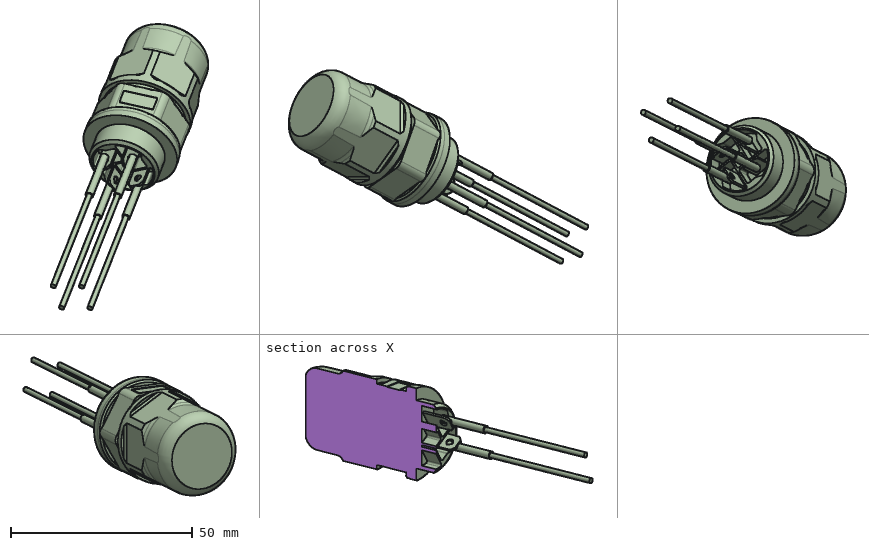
import cadquery as cq
import math


CAP_END_Y = 38.8
DOME_START_Y = 35.0
SHOULDER_TOP_Y = 27.5
SHOULDER_BASE_Y = 25.65
COLLAR_TOP_Y = 15.9
COLLAR_BASE_Y = 13.85
NUT_TOP_Y = 12.7
FLANGE_TOP_Y = 3.8
FLANGE_EDGE_Y = 3.3
FLANGE_RIM_Y = 2.1
SPIGOT_END_Y = -6.9
BLADE_END_Y = -10.9
SLEEVE_END_Y = -21.9
WIRE_END_Y = -56.9

CAP_FACE_RADIUS = 9.3
DOME_MID_RADIUS = 11.35
DOME_MID_DROP = 1.75
CAP_FRONT_RADIUS = 11.97
CAP_REAR_RADIUS = 12.0
COLLAR_RADIUS = 13.2
NECK_RADIUS = 11.9
CAP_FLAT_DISTANCE = 11.9
FLAT_RAMP_LENGTH = 0.9
FLAT_RAMP_RISE = 0.45

NUT_FLAT_DISTANCE = 11.9
NUT_CORNER_FILLET = 2.5
LABEL_WIDTH = 9.65
LABEL_LENGTH = 4.4
LABEL_CENTRE_Y = 8.0
LABEL_DEPTH = 0.2
LABEL_FILLET = 0.3
FLANGE_RADIUS = 13.5
FLANGE_EDGE_RADIUS = 13.4
FLANGE_TOP_RADIUS = 12.8

SPIGOT_RADIUS = 10.0
SPIGOT_CHAMFER = 0.9
INSERT_TILT = 32.0
CHAMBER_RADIUS = 8.65
CHAMBER_DEPTH = 5.0
CHAMBER_FILLET = 0.5
CENTRE_HALF_WIDTH = 1.65
INSERT_WALL = 0.6
CHAMBER_FAR_SIDE = 7.2
FLARE_START = 1.4
FLARE_SLOPE = 0.45

BLADE_OFFSET = 4.15
BLADE_CENTRE = 2.95
BLADE_WIDTH = 5.0
BLADE_THICKNESS = 0.65
BLADE_CHAMFER = 1.1
BLADE_HOLE_DIAMETER = 2.0
BLADE_HOLE_Y = -8.0
WIRE_OFFSET = 5.22
SLEEVE_DIAMETER = 2.2
WIRE_DIAMETER = 1.5

HEX_SIDES = 6
WIRE_COUNT = 4
CHAMBER_FLOOR_Y = SPIGOT_END_Y + CHAMBER_DEPTH


def plane_at(y):
    """Sketch plane at height y, local x = X, local y = Z, extruding toward -Y."""
    return cq.Workplane("XZ", origin=(0, y, 0))


def around_axis(shape, count, start_angle=0.0):
    """Copies of a shape spaced evenly about the Y axis."""
    step = 360.0 / count
    for index in range(count):
        yield shape.rotate((0, 0, 0), (0, 1, 0), -(start_angle + index * step))


def make_cap():
    """Domed cap with a wider rear section and collar, flattened on six sides."""
    shoulder_rise = COLLAR_RADIUS - CAP_REAR_RADIUS
    tangent_length = SHOULDER_TOP_Y - SHOULDER_BASE_Y - shoulder_rise
    slope_end_radius = CAP_REAR_RADIUS + tangent_length * math.cos(math.pi / 4)
    slope_end_y = SHOULDER_BASE_Y + COLLAR_RADIUS - slope_end_radius
    cap = (
        cq.Workplane("XY")
        .moveTo(0, COLLAR_BASE_Y)
        .lineTo(COLLAR_RADIUS, COLLAR_BASE_Y)
        .lineTo(COLLAR_RADIUS, SHOULDER_BASE_Y)
        .lineTo(slope_end_radius, slope_end_y)
        .tangentArcPoint((CAP_REAR_RADIUS, SHOULDER_TOP_Y), relative=False)
        .lineTo(CAP_FRONT_RADIUS, DOME_START_Y)
        .threePointArc((DOME_MID_RADIUS, CAP_END_Y - DOME_MID_DROP), (CAP_FACE_RADIUS, CAP_END_Y))
        .lineTo(0, CAP_END_Y)
        .close()
        .revolve(360, (0, 0, 0), (0, 1, 0))
    )
    outside = 2 * COLLAR_RADIUS
    flat_cutter = (
        cq.Workplane("XY")
        .moveTo(CAP_FLAT_DISTANCE, CAP_END_Y)
        .lineTo(CAP_FLAT_DISTANCE, COLLAR_TOP_Y + FLAT_RAMP_LENGTH)
        .lineTo(CAP_FLAT_DISTANCE + FLAT_RAMP_RISE, COLLAR_TOP_Y)
        .lineTo(outside, COLLAR_TOP_Y)
        .lineTo(outside, CAP_END_Y)
        .close()
        .extrude(COLLAR_RADIUS, both=True)
    )
    for cutter in around_axis(flat_cutter, HEX_SIDES):
        cap = cap.cut(cutter)
    return cap


def make_neck():
    """Short round neck joining the cap to the nut."""
    return plane_at(COLLAR_BASE_Y).circle(NECK_RADIUS).extrude(COLLAR_BASE_Y - NUT_TOP_Y)


def make_nut():
    """Hexagonal body with rounded corners and a sunken label panel on its +Z flat."""
    corner_diameter = 2 * NUT_FLAT_DISTANCE / math.cos(math.pi / HEX_SIDES)
    nut = (
        plane_at(NUT_TOP_Y)
        .polygon(HEX_SIDES, corner_diameter)
        .extrude(NUT_TOP_Y - FLANGE_RIM_Y)
        .edges("|Y")
        .fillet(NUT_CORNER_FILLET)
    )
    panel = (
        cq.Workplane("XY", origin=(0, LABEL_CENTRE_Y, NUT_FLAT_DISTANCE - LABEL_DEPTH))
        .rect(LABEL_WIDTH, LABEL_LENGTH)
        .extrude(2 * LABEL_DEPTH)
        .edges("|Z")
        .fillet(LABEL_FILLET)
    )
    return nut.cut(panel)


def make_flange_and_spigot():
    """Round flange with a tapered upper edge, and the chamfered spigot below it."""
    flange = (
        cq.Workplane("XY")
        .lineTo(FLANGE_RADIUS, 0)
        .lineTo(FLANGE_RADIUS, FLANGE_RIM_Y)
        .lineTo(FLANGE_EDGE_RADIUS, FLANGE_EDGE_Y)
        .lineTo(FLANGE_TOP_RADIUS, FLANGE_TOP_Y)
        .lineTo(0, FLANGE_TOP_Y)
        .close()
        .revolve(360, (0, 0, 0), (0, 1, 0))
    )
    spigot = plane_at(0).circle(SPIGOT_RADIUS).extrude(-SPIGOT_END_Y)
    return flange.union(spigot.faces("<Y").chamfer(SPIGOT_CHAMFER))


def make_chamber():
    """Wire chamber of the insert, before the insert is tilted about Y."""
    near_side = CENTRE_HALF_WIDTH + INSERT_WALL
    flare_length = CHAMBER_RADIUS - FLARE_START
    outline = [
        (near_side, -CENTRE_HALF_WIDTH),
        (CHAMBER_FAR_SIDE, -CENTRE_HALF_WIDTH),
        (CHAMBER_FAR_SIDE, FLARE_START),
        (CHAMBER_FAR_SIDE + FLARE_SLOPE * flare_length, CHAMBER_RADIUS),
        (near_side, CHAMBER_RADIUS),
    ]
    block = plane_at(CHAMBER_FLOOR_Y).polyline(outline).close().extrude(CHAMBER_DEPTH)
    bore = plane_at(CHAMBER_FLOOR_Y).circle(CHAMBER_RADIUS).extrude(CHAMBER_DEPTH)
    return block.intersect(bore).edges("|Y").fillet(CHAMBER_FILLET)


def make_centre_pocket():
    """Square pocket on the axis, framed by the four chamber walls."""
    width = 2 * CENTRE_HALF_WIDTH
    pocket = plane_at(CHAMBER_FLOOR_Y).rect(width, width).extrude(CHAMBER_DEPTH)
    return pocket.edges("|Y").fillet(CHAMBER_FILLET)


def make_contact():
    """Pierced contact blade with its sleeved wire, before the insert is tilted about Y."""
    blade = (
        plane_at(CHAMBER_FLOOR_Y)
        .center(BLADE_OFFSET, BLADE_CENTRE)
        .rect(BLADE_THICKNESS, BLADE_WIDTH)
        .extrude(CHAMBER_FLOOR_Y - BLADE_END_Y)
        .faces("<Y")
        .edges("|X")
        .chamfer(BLADE_CHAMFER)
    )
    hole = (
        cq.Workplane("YZ", origin=(BLADE_OFFSET, BLADE_HOLE_Y, BLADE_CENTRE))
        .circle(BLADE_HOLE_DIAMETER / 2)
        .extrude(BLADE_THICKNESS, both=True)
    )
    wire_start = plane_at(SPIGOT_END_Y).center(WIRE_OFFSET, BLADE_CENTRE)
    sleeve = wire_start.circle(SLEEVE_DIAMETER / 2).extrude(SPIGOT_END_Y - SLEEVE_END_Y)
    wire = wire_start.circle(WIRE_DIAMETER / 2).extrude(SPIGOT_END_Y - WIRE_END_Y)
    return blade.cut(hole).union(sleeve).union(wire)


result = make_cap().union(make_neck()).union(make_nut()).union(make_flange_and_spigot())

for pocket in around_axis(make_chamber(), WIRE_COUNT, INSERT_TILT):
    result = result.cut(pocket)
for pocket in around_axis(make_centre_pocket(), 1, INSERT_TILT):
    result = result.cut(pocket)
for contact in around_axis(make_contact(), WIRE_COUNT, INSERT_TILT):
    result = result.union(contact)